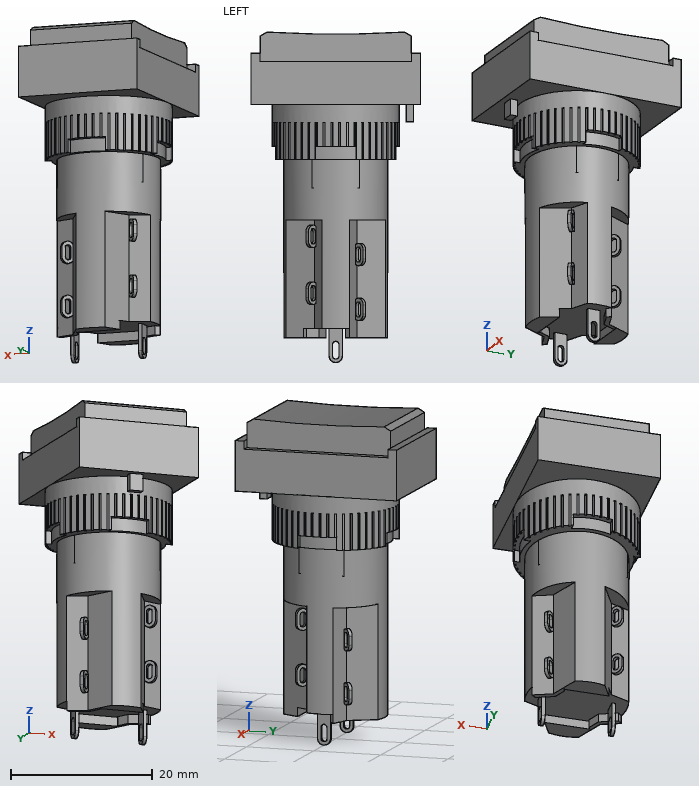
import cadquery as cq
import math

TOTAL_HEIGHT = 46.75

CAP_SHOULDER_Z = 46.15
BEZEL_TOP_Z = 43.75
LEDGE_Z = 42.55
BEZEL_BOTTOM_Z = 36.45
KNURL_TOP_Z = 33.93
RING_BOTTOM_Z = 28.7
STEM_BOTTOM_Z = 24.67
NOTCH_TOP_Z = 20.15
CAVITY_TOP_Z = 4.8
BARREL_BOTTOM_Z = 3.5

BEZEL_WIDTH = 18.0
BEZEL_LENGTH = 24.0
CAP_WIDTH = 15.37
CAP_LENGTH = 21.4
CAP_RIDGE_SPACING = 19.45
CAP_DISH_DEPTH = 0.3
STEM_X_SIZE = 13.0
STEM_Y_SIZE = 6.7

KEY_WIDTH = 1.9
KEY_THICKNESS = 1.07
KEY_HEIGHT = 2.45
KEY_CENTER_Y = -10.45

BARREL_RADIUS = 14.7 / 2
NOTCH_VERTEX_X = 4.25
NOTCH_VERTEX_Y = 3.0
X_LOBE_HALF_WIDTH = 1.9
Y_LOBE_HALF_WIDTH = 2.2

CAVITY_END_Y = 4.55
CAVITY_HALF_OUTLINE = [
    (7.65, 2.5),
    (6.5, 1.35),
    (3.85, 2.4),
    (2.95, 4.15),
    (3.15, CAVITY_END_Y),
    (-7.65, CAVITY_END_Y),
]

TERMINAL_WIDTH = 1.9
TERMINAL_THICKNESS = 0.5
TERMINAL_HOLE_WIDTH = 0.9
LAMP_TERMINAL_X = 5.15
LAMP_HOLE_LENGTH = 2.5
SIDE_TERMINAL_LENGTH = 3.2
SIDE_HOLE_LENGTH = 2.15
SIDE_TERMINAL_X = 4.95
SIDE_TERMINAL_Y = 3.35
SIDE_LEVELS_A = (15.3, 7.52)
SIDE_LEVELS_B = (17.85, 9.8)

RING_RADIUS = BEZEL_WIDTH / 2
RING_SLOT_WIDTH = 5.7
RING_SLOT_HEIGHT = 1.85
RING_SLOT_FLOOR_RADIUS = 8.1
GROOVE_COUNT = 50
GROOVE_WIDTH = 0.3
GROOVE_DEPTH = 0.3

MARGIN = 0.45


def block(x_size, y_size, z_low, z_high):
    """Box centred on the Z axis between two levels."""
    return cq.Workplane("XY").workplane(offset=z_low).rect(x_size, y_size).extrude(z_high - z_low)


def cylinder(radius, z_low, z_high):
    return cq.Workplane("XY").workplane(offset=z_low).circle(radius).extrude(z_high - z_low)


def terminal_hole(length):
    """Cutter for the slot of a terminal lying in the YZ plane, long side along Z."""
    return cq.Workplane("YZ").slot2D(length, TERMINAL_HOLE_WIDTH, 90).extrude(TERMINAL_THICKNESS, both=True)


def stem():
    """Rectangular stem of the cap, which is also the shape of its socket in the housing."""
    return block(STEM_X_SIZE, STEM_Y_SIZE, STEM_BOTTOM_Z, LEDGE_Z)



def bezel():
    """Rectangular frame whose long sides are lowered to a ledge beside the cap."""
    frame = block(BEZEL_WIDTH, BEZEL_LENGTH, BEZEL_BOTTOM_Z, BEZEL_TOP_Z)
    opening = block(BEZEL_WIDTH + MARGIN, CAP_LENGTH, LEDGE_Z, BEZEL_TOP_Z + MARGIN)
    key = block(KEY_WIDTH, KEY_THICKNESS, BEZEL_BOTTOM_Z - KEY_HEIGHT, BEZEL_BOTTOM_Z)
    return frame.cut(opening).union(key.translate((0, KEY_CENTER_Y, 0)))


def corner_notch():
    """V-shaped cutter for the +X+Y corner of the barrel."""
    x_lobe_edge = (math.sqrt(BARREL_RADIUS**2 - X_LOBE_HALF_WIDTH**2), X_LOBE_HALF_WIDTH)
    y_lobe_edge = (Y_LOBE_HALF_WIDTH, math.sqrt(BARREL_RADIUS**2 - Y_LOBE_HALF_WIDTH**2))

    def past_edge(edge):
        reach = 1.5
        return (
            NOTCH_VERTEX_X + reach * (edge[0] - NOTCH_VERTEX_X),
            NOTCH_VERTEX_Y + reach * (edge[1] - NOTCH_VERTEX_Y),
        )

    outline = [
        (NOTCH_VERTEX_X, NOTCH_VERTEX_Y),
        past_edge(x_lobe_edge),
        (BARREL_RADIUS, BARREL_RADIUS),
        past_edge(y_lobe_edge),
    ]
    return (
        cq.Workplane("XY")
        .workplane(offset=BARREL_BOTTOM_Z - MARGIN)
        .polyline(outline)
        .close()
        .extrude(NOTCH_TOP_Z - BARREL_BOTTOM_Z + MARGIN)
    )


def bottom_cavity():
    """Cutter for the open channel through the X lobes, the same after half a turn."""
    other_half = [(-x, -y) for x, y in CAVITY_HALF_OUTLINE]
    return (
        cq.Workplane("XY")
        .workplane(offset=BARREL_BOTTOM_Z - MARGIN)
        .polyline(CAVITY_HALF_OUTLINE + other_half)
        .close()
        .extrude(CAVITY_TOP_Z - BARREL_BOTTOM_Z + MARGIN)
    )


def barrel():
    body = cylinder(BARREL_RADIUS, BARREL_BOTTOM_Z, BEZEL_BOTTOM_Z)
    notch = corner_notch()
    notch_pair = notch.union(notch.mirror("YZ"))
    body = body.cut(notch_pair).cut(notch_pair.mirror("XZ"))
    return body.cut(bottom_cavity())


def lamp_terminals():
    """Two terminals rooted in the roof of the bottom cavity."""
    tip_radius = TERMINAL_WIDTH / 2
    root_z = CAVITY_TOP_Z + MARGIN
    hole_center_z = (TERMINAL_WIDTH - TERMINAL_HOLE_WIDTH) / 2 + LAMP_HOLE_LENGTH / 2
    blade = (
        cq.Workplane("YZ")
        .moveTo(-tip_radius, root_z)
        .lineTo(-tip_radius, tip_radius)
        .threePointArc((0, 0), (tip_radius, tip_radius))
        .lineTo(tip_radius, root_z)
        .close()
        .extrude(TERMINAL_THICKNESS / 2, both=True)
    )
    blade = blade.cut(terminal_hole(LAMP_HOLE_LENGTH).translate((0, 0, hole_center_z)))
    return [blade.translate((x, 0, 0)) for x in (-LAMP_TERMINAL_X, LAMP_TERMINAL_X)]


def side_terminals():
    """Terminals standing out at 45 degrees from the bottom of each corner notch."""
    plate = (
        cq.Workplane("YZ")
        .slot2D(SIDE_TERMINAL_LENGTH, TERMINAL_WIDTH, 90)
        .extrude(TERMINAL_THICKNESS / 2, both=True)
        .cut(terminal_hole(SIDE_HOLE_LENGTH))
    )
    terminals = []
    for side_x, side_y in ((-1, -1), (1, 1), (1, -1), (-1, 1)):
        levels = SIDE_LEVELS_A if side_x == side_y else SIDE_LEVELS_B
        turned = plate.rotate((0, 0, 0), (0, 0, 1), -45 * side_x * side_y)
        for level in levels:
            terminals.append(turned.translate((side_x * SIDE_TERMINAL_X, side_y * SIDE_TERMINAL_Y, level)))
    return terminals


def knurled_ring():
    """Knurled ring around the barrel, with four spanner slots in its lower end."""
    ring = cylinder(RING_RADIUS, RING_BOTTOM_Z, BEZEL_BOTTOM_Z)

    slot_top_z = RING_BOTTOM_Z + RING_SLOT_HEIGHT
    slot_ends = block(2 * RING_RADIUS + MARGIN, RING_SLOT_WIDTH, RING_BOTTOM_Z, slot_top_z)
    slots = slot_ends.union(slot_ends.rotate((0, 0, 0), (0, 0, 1), 90))
    ring = ring.cut(slots.cut(cylinder(RING_SLOT_FLOOR_RADIUS, RING_BOTTOM_Z, BEZEL_BOTTOM_Z)))

    grooves = (
        cq.Workplane("XY")
        .workplane(offset=RING_BOTTOM_Z)
        .polarArray(RING_RADIUS, -90, 360, GROOVE_COUNT)
        .rect(2 * GROOVE_DEPTH, GROOVE_WIDTH)
        .extrude(KNURL_TOP_Z - RING_BOTTOM_Z)
    )
    return ring.cut(grooves)


def build_housing():
    body = bezel().union(barrel()).union(knurled_ring())
    for terminal in lamp_terminals() + side_terminals():
        body = body.union(terminal)
    return body.cut(stem())



def build_push_cap():
    """Cap with sloped ends and a shallow dished top, on a rectangular stem."""
    half_length = CAP_LENGTH / 2
    half_ridge = CAP_RIDGE_SPACING / 2
    head = (
        cq.Workplane("YZ")
        .moveTo(-half_length, LEDGE_Z)
        .lineTo(half_length, LEDGE_Z)
        .lineTo(half_length, CAP_SHOULDER_Z)
        .lineTo(half_ridge, TOTAL_HEIGHT)
        .threePointArc((0, TOTAL_HEIGHT - CAP_DISH_DEPTH), (-half_ridge, TOTAL_HEIGHT))
        .lineTo(-half_length, CAP_SHOULDER_Z)
        .close()
        .extrude(CAP_WIDTH / 2, both=True)
    )
    return head.union(stem())


housing = build_housing()
push_cap = build_push_cap()

result = cq.Compound.makeCompound([housing.val(), push_cap.val()])